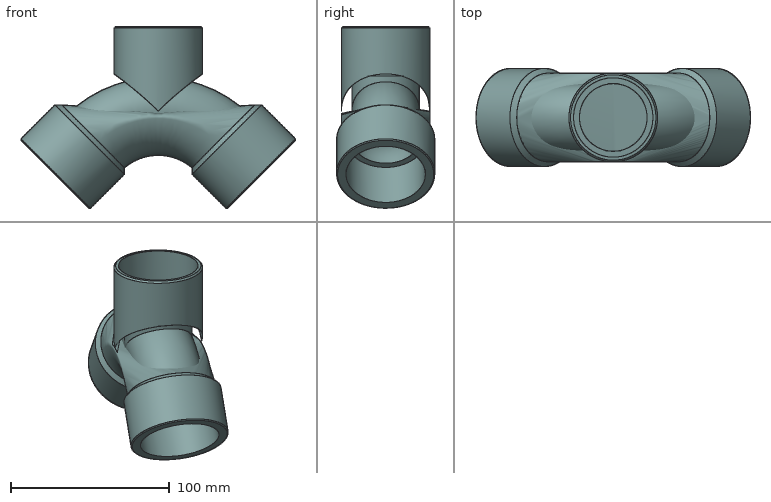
import cadquery as cq
import math

pipe_diameter = 56.0
socket_diameter = 62.0
socket_bore = 50.0
flow_bore = 42.5
bend_radius = 61.1
half_bend_angle = 45
branch_top = 53.3
socket_depth = 31.2
socket_reach = 31.0
socket_rim_chamfer = 0.7
branch_rim_chamfer = 1.0

pipe_radius = pipe_diameter / 2
socket_radius = socket_diameter / 2
shoulder = socket_radius - pipe_radius

half_angle = math.radians(half_bend_angle)
bend_end_x = bend_radius * math.sin(half_angle)
bend_end_z = bend_radius * (math.cos(half_angle) - 1)


def end_plane(side):
    """Plane at one end of the bend, facing outward; side is -1 or 1."""
    return cq.Plane(
        origin=(side * bend_end_x, 0, bend_end_z),
        xDir=(0, 1, 0),
        normal=(side * math.cos(half_angle), 0, -math.sin(half_angle)),
    )


def bend(diameter):
    """Solid round bar following the bend's centreline."""
    path = (
        cq.Workplane("XZ")
        .moveTo(-bend_end_x, bend_end_z)
        .threePointArc((0, 0), (bend_end_x, bend_end_z))
    )
    return cq.Workplane(end_plane(-1)).circle(diameter / 2).sweep(path)


def socket_body(side):
    """Enlarged end with a conical shoulder and a chamfered rim."""
    base = cq.Workplane(end_plane(side))
    cone = (
        base.workplane(offset=-shoulder)
        .circle(pipe_radius)
        .workplane(offset=shoulder)
        .circle(socket_radius)
        .loft(ruled=True)
    )
    barrel = base.circle(socket_radius).extrude(socket_reach)
    rim = cq.selectors.DirectionMinMaxSelector(end_plane(side).zDir)
    return cone.union(barrel.faces(rim).chamfer(socket_rim_chamfer))


def socket_hole(side):
    """Wide bore from the socket mouth to its stop ledge."""
    return (
        cq.Workplane(end_plane(side))
        .workplane(offset=socket_reach)
        .circle(socket_bore / 2)
        .extrude(-socket_depth)
    )


branch = (
    cq.Workplane("XY")
    .circle(pipe_radius)
    .extrude(branch_top)
    .faces(">Z")
    .chamfer(branch_rim_chamfer)
)
branch_flow_hole = cq.Workplane("XY").circle(flow_bore / 2).extrude(branch_top)
branch_socket_hole = (
    cq.Workplane("XY").workplane(offset=branch_top).circle(socket_bore / 2).extrude(-socket_depth)
)

result = bend(pipe_diameter).union(branch)
for side in (-1, 1):
    result = result.union(socket_body(side))

result = result.cut(bend(flow_bore)).cut(branch_flow_hole).cut(branch_socket_hole)
for side in (-1, 1):
    result = result.cut(socket_hole(side))